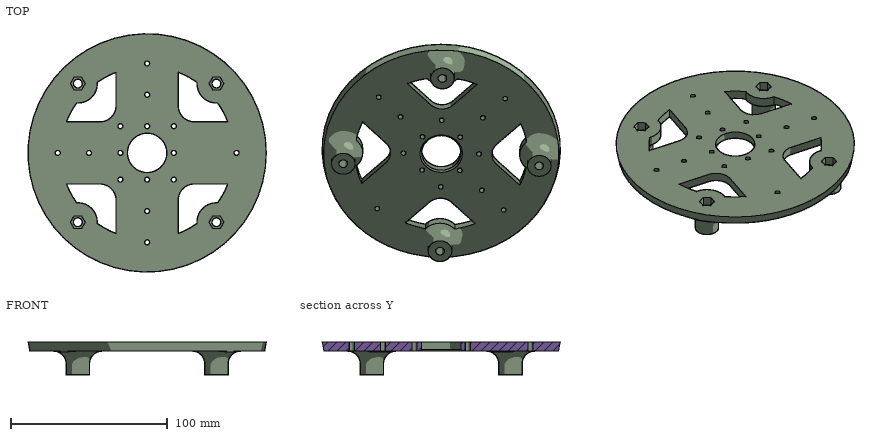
import cadquery as cq
import math

plate_diameter = 152.1
plate_thickness = 6.0
plate_bottom_diameter = 150.0
total_height = 21.0
centre_hole_diameter = 25.0
centre_hole_chamfer = 1.0

post_circle_radius = 62.5
post_diameter = 15.0
post_root_radius = 7.9
bolt_hole_diameter = 5.5
nut_across_flats = 8.2
nut_pocket_depth = plate_thickness

window_offset = 20.0
window_outer_radius = 55.0
window_corner_radius = 10.0
post_island_radius = 12.5

small_hole_diameter = 3.0
inner_hole_offset = 17.0
middle_hole_offset = 37.1
outer_hole_offset = 57.0

post_offset = post_circle_radius / math.sqrt(2)
post_points = [(sx * post_offset, sy * post_offset) for sx in (-1, 1) for sy in (-1, 1)]


def make_plate():
    """Round plate with a sloping rim."""
    top_radius = plate_diameter / 2
    bottom_radius = plate_bottom_diameter / 2
    return (
        cq.Workplane("XZ")
        .polyline([(0, 0), (top_radius, 0), (bottom_radius, -plate_thickness), (0, -plate_thickness)])
        .close()
        .revolve(360, (0, 0, 0), (0, 1, 0))
    )


def make_post():
    """Post on the Z axis whose root flares out tangentially into the plate."""
    radius = post_diameter / 2
    embedded_top = -plate_thickness / 2
    flare_radius = radius + post_root_radius
    root_end = -plate_thickness - post_root_radius
    arc_middle = (
        flare_radius - post_root_radius * math.cos(math.pi / 4),
        root_end + post_root_radius * math.sin(math.pi / 4),
    )
    return (
        cq.Workplane("XZ")
        .moveTo(0, embedded_top)
        .lineTo(0, -total_height)
        .lineTo(radius, -total_height)
        .lineTo(radius, root_end)
        .threePointArc(arc_middle, (flare_radius, -plate_thickness))
        .lineTo(flare_radius, embedded_top)
        .close()
        .revolve(360, (0, 0, 0), (0, 1, 0))
    )


def make_window():
    """Cutter for the +X +Y window: a rounded sector less the island around the post."""
    sector = (
        cq.Workplane("XY")
        .rect(plate_diameter, plate_diameter, centered=False)
        .extrude(-total_height)
        .translate((window_offset, window_offset, 0))
        .edges("|Z")
        .edges("<X and <Y")
        .fillet(window_corner_radius)
        .intersect(cq.Workplane("XY").circle(window_outer_radius).extrude(-total_height))
    )
    island = (
        cq.Workplane("XY")
        .center(post_offset, post_offset)
        .circle(post_island_radius)
        .extrude(-total_height)
    )
    return sector.cut(island)


def through_holes(points, diameter):
    return cq.Workplane("XY").pushPoints(points).circle(diameter / 2).extrude(-total_height)


def make_centre_hole():
    """Cutter for the central bore, widening to a 45 degree chamfer at the underside."""
    radius = centre_hole_diameter / 2
    return (
        cq.Workplane("XY")
        .circle(radius)
        .extrude(-plate_thickness)
        .union(
            cq.Workplane("XY", origin=(0, 0, -plate_thickness))
            .circle(radius + centre_hole_chamfer)
            .extrude(centre_hole_chamfer, taper=45)
        )
    )


def make_nut_pockets():
    across_corners = nut_across_flats / math.cos(math.pi / 6)
    return cq.Workplane("XY").pushPoints(post_points).polygon(6, across_corners).extrude(-nut_pocket_depth)


def small_hole_points():
    """Square ring of eight holes, then outer holes on the axes; +X has no middle hole."""
    steps = (-inner_hole_offset, 0, inner_hole_offset)
    points = [(x, y) for x in steps for y in steps if (x, y) != (0, 0)]
    points += [(-middle_hole_offset, 0), (0, middle_hole_offset), (0, -middle_hole_offset)]
    points += [(-outer_hole_offset, 0), (outer_hole_offset, 0)]
    points += [(0, -outer_hole_offset), (0, outer_hole_offset)]
    return points


result = make_plate()

post_limit = cq.Workplane("XY").circle(plate_bottom_diameter / 2).extrude(-total_height)
for x, y in post_points:
    result = result.union(make_post().translate((x, y, 0)).intersect(post_limit))

window = make_window()
for quarter_turn in range(4):
    result = result.cut(window.rotate((0, 0, 0), (0, 0, 1), 90 * quarter_turn))

result = (
    result.cut(make_centre_hole())
    .cut(through_holes(small_hole_points(), small_hole_diameter))
    .cut(through_holes(post_points, bolt_hole_diameter))
    .cut(make_nut_pockets())
)